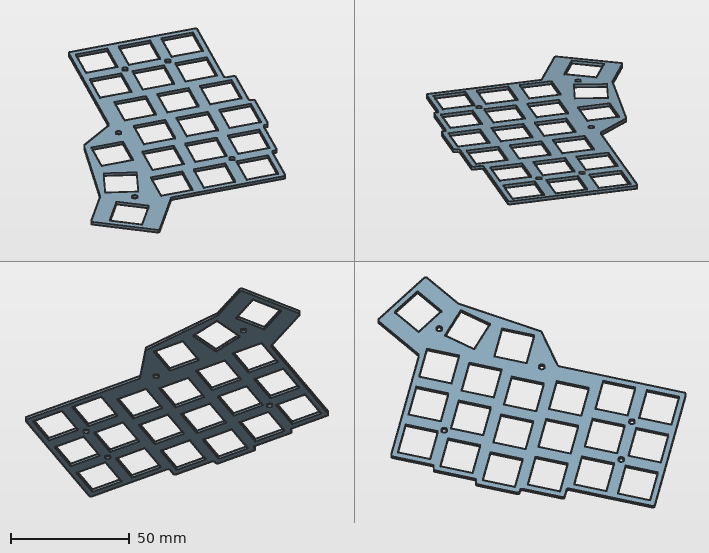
import cadquery as cq
import math


thickness = 1.5
switch_size = 14.0
column_count = 6
row_count = 3
pitch = 19.0
edge_offset = pitch / 2
stagger_step = pitch / 8
column_stagger = [steps * stagger_step for steps in (0, 0, 2, 3, 2, 1)]
field_width = column_count * pitch
field_height = row_count * pitch

thumb_keys = [(4 * pitch, -5.3, 0), (96.9, -8.2, -15), (119.3, -11.8, -30)]
outer_key_reach_up = 15.0
outer_key_reach_down = 14.5
thumb_slope_start = 55.6

hole_diameter = 2.4
upper_right_hole_y = 41.7
thumb_left_hole = (62.2, 2.0)
thumb_right_hole = (108.6, -5.9)
corner_radius = 1.0


def column_x(column):
    return edge_offset + column * pitch


def column_gap_x(column):
    """X of the line midway between a column and the one to its right."""
    return column_x(column) + pitch / 2


def row_gap_y(row):
    """Y of the line midway between a row and the one above it, without stagger."""
    return edge_offset + (row + 0.5) * pitch


def thumb_point(key, along, across):
    """Point given in the rotated axes of a thumb key."""
    x, y, degrees = key
    angle = math.radians(degrees)
    return (
        x + along * math.cos(angle) - across * math.sin(angle),
        y + along * math.sin(angle) + across * math.cos(angle),
    )


def top_edge_points():
    """Stepped upper edge from left to right, one step wherever the stagger changes."""
    points = [(0, field_height)]
    for column in range(column_count - 1):
        here, following = column_stagger[column], column_stagger[column + 1]
        if here != following:
            x = column_gap_x(column)
            points += [(x, field_height + here), (x, field_height + following)]
    points.append((field_width, field_height + column_stagger[-1]))
    return points


def thumb_edge_points():
    """Edge around the thumb cluster, from the right side back to the lower edge."""
    inner_key, outer_key = thumb_keys[0], thumb_keys[-1]
    upper_corner = thumb_point(outer_key, edge_offset, outer_key_reach_up)
    slope = math.tan(math.radians(outer_key[2]))
    return [
        (field_width, upper_corner[1] + slope * (field_width - upper_corner[0])),
        upper_corner,
        thumb_point(outer_key, edge_offset, -outer_key_reach_down),
        thumb_point(outer_key, -edge_offset, -outer_key_reach_down),
        thumb_point(inner_key, -edge_offset, -edge_offset),
        (thumb_slope_start, 0),
    ]


def plate_blank():
    outline = [(0, 0)] + top_edge_points() + thumb_edge_points()
    blank = cq.Workplane("XY").polyline(outline).close().extrude(thickness)
    return blank.edges("|Z").fillet(corner_radius)


def switch_cutout(x, y, degrees):
    cutout = cq.Workplane("XY").rect(switch_size, switch_size).extrude(thickness)
    return cutout.rotate((0, 0, 0), (0, 0, 1), degrees).translate((x, y, 0))


main_keys = [
    (column_x(column), edge_offset + row * pitch + column_stagger[column], 0)
    for column in range(column_count)
    for row in range(row_count)
]

hole_centers = [
    (column_gap_x(0), row_gap_y(0)),
    (column_gap_x(0), row_gap_y(1)),
    (column_gap_x(4), upper_right_hole_y),
    thumb_left_hole,
    thumb_right_hole,
]

result = plate_blank()
for key in main_keys + thumb_keys:
    result = result.cut(switch_cutout(*key))
holes = cq.Workplane("XY").pushPoints(hole_centers).circle(hole_diameter / 2).extrude(thickness)
result = result.cut(holes)